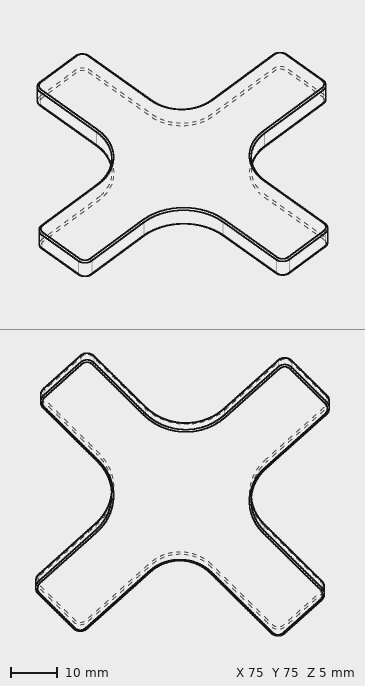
import cadquery as cq

span = 75.0
thickness = 5.0
arm_width = 15.0

end_corner_radius = 2.0
rim_chamfer = 0.4

gauge_radii = {
    (-1, 1): 9.0,
    (1, 1): 10.0,
    (-1, -1): 11.0,
    (1, -1): 12.0,
}


def cross_blank():
    """Two crossed bars centred on the origin, standing on Z = 0."""
    bar_along_x = cq.Workplane("XY").rect(span, arm_width).extrude(thickness)
    bar_along_y = cq.Workplane("XY").rect(arm_width, span).extrude(thickness)
    return bar_along_x.union(bar_along_y)


def round_gauge_corners(body):
    """Give each inside corner its own fillet radius."""
    for (x_sign, y_sign), radius in gauge_radii.items():
        inside_corner = (x_sign * arm_width / 2, y_sign * arm_width / 2, thickness / 2)
        nearest_edge = cq.selectors.NearestToPointSelector(inside_corner)
        body = body.edges(nearest_edge).fillet(radius)
    return body


def round_arm_ends(body):
    """Round the two vertical edges at the end of every arm."""
    for end_face in ("<X", ">X", "<Y", ">Y"):
        body = body.faces(end_face).edges("|Z").fillet(end_corner_radius)
    return body


def break_rims(body):
    """Chamfer the full outline of the top and bottom faces."""
    return body.faces("<Z or >Z").edges().chamfer(rim_chamfer)


result = break_rims(round_arm_ends(round_gauge_corners(cross_blank())))